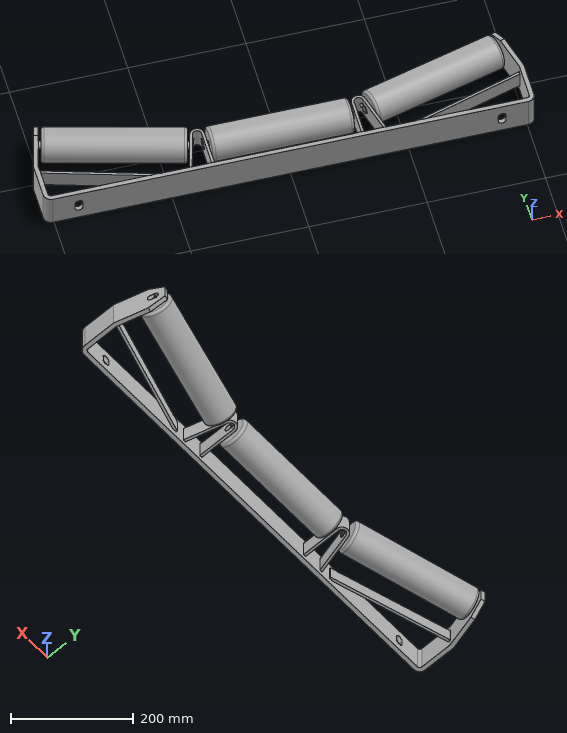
import cadquery as cq
import math


total_length = 830.0
strip_width = 60.0
tilt = 15.0

frame_thickness = 8.0
corner_radius = 13.0
kink_y = 76.0
tip_length = 95.0
tip_chamfer_length = 31.0
tip_flat = 30.0
mount_slot_x = 358.0
mount_slot_length = 23.0
mount_slot_width = 13.0

roller_diameter = 60.0
roller_length = 240.0
roller_edge_radius = 5.0
roller_gap = 4.0
center_roller_y = 70.5
axle_diameter = 13.0
axle_to_tip = 26.0
axle_slot_travel = 7.0

bracket_thickness = 5.0
bracket_width = 36.5
bracket_bend_radius = 10.0
bracket_bend_y = 81.0

brace_thickness = 5.0
brace_width = 30.0
brace_angle = 16.6
brace_top_y = 76.0
brace_end_x = 187.0

tilt_radians = math.radians(tilt)
tilt_sin = math.sin(tilt_radians)
tilt_cos = math.cos(tilt_radians)
RIGHTWARD = (1, 0, 0)
UPRIGHT = (0, 1, 0)
VERTICAL = (0, 0, 1)
TIP_ALONG = (tilt_sin, tilt_cos, 0)
TIP_INWARD = (tilt_cos, -tilt_sin, 0)

half_length = total_length / 2
upright_inner_x = half_length - frame_thickness
inner_kink_y = kink_y - frame_thickness * math.tan(tilt_radians / 2)
support_span = roller_length + 2 * roller_gap
leg_middle_x = -(support_span + bracket_thickness) / 2
bracket_bend_x = leg_middle_x - bracket_bend_radius
outer_axle_along = tip_length - axle_to_tip
axle_in_bracket = roller_gap + bracket_thickness
axle_in_frame = roller_gap + frame_thickness


def left_tip_point(along, inward):
    """XY point measured from the left outer kink, along the tip and inward across it."""
    x = -half_length + along * tilt_sin + inward * tilt_cos
    y = kink_y + along * tilt_cos - inward * tilt_sin
    return x, y


def mirrored(body):
    return body.mirror("YZ")


def slot_cutter(center, along, normal, length, width, depth):
    """Round-ended slot centred on a point, reaching depth to both sides of it."""
    plane = cq.Plane(origin=center, xDir=along, normal=normal)
    return cq.Workplane(plane).slot2D(length, width).extrude(depth, both=True)


def axle_slot(axle_point, along, normal, thickness):
    """Slot through a sheet; the axle rests in its lower round end."""
    x, y = axle_point
    shift = axle_slot_travel / 2
    center = (x + along[0] * shift, y + along[1] * shift, 0)
    length = axle_diameter + axle_slot_travel
    return slot_cutter(center, along, normal, length, axle_diameter, thickness)



def bent_strip():
    """Base, two uprights and two tilted tips, full width everywhere."""
    outer_end_x, outer_end_y = left_tip_point(tip_length, 0)
    inner_end_x, inner_end_y = left_tip_point(tip_length, frame_thickness)
    left_half = [
        (-half_length, 0),
        (-half_length, kink_y),
        (outer_end_x, outer_end_y),
        (inner_end_x, inner_end_y),
        (-upright_inner_x, inner_kink_y),
        (-upright_inner_x, frame_thickness),
    ]
    right_half = [(-x, y) for x, y in reversed(left_half)]
    strip = (
        cq.Workplane("XY").polyline(left_half + right_half).close()
        .extrude(strip_width / 2, both=True)
    )
    inside_radius = corner_radius - frame_thickness
    for side in (-1, 1):
        outside_corner = (side * half_length, 0, 0)
        inside_corner = (side * upright_inner_x, frame_thickness, 0)
        strip = strip.edges(cq.selectors.NearestToPointSelector(outside_corner)).fillet(corner_radius)
        strip = strip.edges(cq.selectors.NearestToPointSelector(inside_corner)).fillet(inside_radius)
    return strip


def tip_corner_cutter():
    """Two triangular prisms that chamfer the corners of the left tip."""
    half_width = strip_width / 2
    chamfer_start = tip_length - tip_chamfer_length
    plane = cq.Plane(origin=(-half_length, kink_y, 0), xDir=TIP_ALONG, normal=TIP_INWARD)
    corner = (
        cq.Workplane(plane)
        .moveTo(chamfer_start, half_width)
        .lineTo(tip_length, half_width)
        .lineTo(tip_length, tip_flat / 2)
        .close()
        .extrude(frame_thickness)
    )
    return corner.union(corner.mirror("XY"))


def build_frame():
    frame = bent_strip()
    axle_point = left_tip_point(outer_axle_along, frame_thickness / 2)
    tip_slot = axle_slot(axle_point, TIP_ALONG, TIP_INWARD, frame_thickness)
    mount_center = (-mount_slot_x, frame_thickness / 2, 0)
    mount_slot = slot_cutter(
        mount_center, VERTICAL, UPRIGHT, mount_slot_length, mount_slot_width, frame_thickness
    )
    for cutter in (tip_corner_cutter(), tip_slot, mount_slot):
        frame = frame.cut(cutter).cut(mirrored(cutter))
    return frame



def build_roller(center, angle, left_axle, right_axle):
    """Roller with fixed axle stubs, turned about Z and moved to its centre."""
    half_roller = roller_length / 2
    shell = (
        cq.Workplane("YZ", origin=(-half_roller, 0, 0))
        .circle(roller_diameter / 2)
        .extrude(roller_length)
        .faces("<X or >X").edges()
        .fillet(roller_edge_radius)
    )
    axle = (
        cq.Workplane("YZ", origin=(-half_roller - left_axle, 0, 0))
        .circle(axle_diameter / 2)
        .extrude(left_axle + roller_length + right_axle)
    )
    x, y = center
    return shell.union(axle).rotate((0, 0, 0), VERTICAL, angle).translate((x, y, 0))



def bend_point(radius, angle):
    x = bracket_bend_x + radius * math.cos(angle)
    y = bracket_bend_y + radius * math.sin(angle)
    return x, y


def tilted_leg_foot(radius, bend_end):
    """Where a face of the tilted leg, leaving the bend, meets the frame base."""
    x, y = bend_point(radius, bend_end)
    return x - (y - frame_thickness) * math.tan(tilt_radians), frame_thickness


def build_left_bracket():
    outer = bracket_bend_radius + bracket_thickness / 2
    inner = bracket_bend_radius - bracket_thickness / 2
    bend_end = math.pi - tilt_radians
    bend_middle = bend_end / 2
    bracket = (
        cq.Workplane("XY")
        .moveTo(bracket_bend_x + outer, frame_thickness)
        .lineTo(*bend_point(outer, 0))
        .threePointArc(bend_point(outer, bend_middle), bend_point(outer, bend_end))
        .lineTo(*tilted_leg_foot(outer, bend_end))
        .lineTo(*tilted_leg_foot(inner, bend_end))
        .lineTo(*bend_point(inner, bend_end))
        .threePointArc(bend_point(inner, bend_middle), bend_point(inner, 0))
        .lineTo(bracket_bend_x + inner, frame_thickness)
        .close()
        .extrude(bracket_width / 2, both=True)
    )
    upright_axle = (leg_middle_x, center_roller_y)
    tilted_leg_inward = frame_thickness + support_span + bracket_thickness / 2
    tilted_axle = left_tip_point(outer_axle_along, tilted_leg_inward)
    bracket = bracket.cut(axle_slot(upright_axle, UPRIGHT, RIGHTWARD, bracket_thickness))
    return bracket.cut(axle_slot(tilted_axle, TIP_ALONG, TIP_INWARD, bracket_thickness))



def build_left_brace():
    """Bar from the kink down to the base, cut flush where it meets the frame."""
    slope = math.tan(math.radians(brace_angle))
    upright_cut = brace_thickness / math.cos(math.radians(brace_angle))
    top_x = -upright_inner_x + (brace_top_y - inner_kink_y) * math.tan(tilt_radians)
    upper_end_y = brace_top_y - (-brace_end_x - top_x) * slope
    lower_start_y = brace_top_y - (-upright_inner_x - top_x) * slope - upright_cut
    base_contact_x = -upright_inner_x + (lower_start_y - frame_thickness) / slope
    outline = [
        (-upright_inner_x, inner_kink_y),
        (top_x, brace_top_y),
        (-brace_end_x, upper_end_y),
        (-brace_end_x, frame_thickness),
        (base_contact_x, frame_thickness),
        (-upright_inner_x, lower_start_y),
    ]
    return cq.Workplane("XY").polyline(outline).close().extrude(brace_width / 2, both=True)



frame = build_frame()
center_roller = build_roller((0, center_roller_y), 0, axle_in_bracket, axle_in_bracket)
left_roller_center = left_tip_point(outer_axle_along, frame_thickness + support_span / 2)
left_roller = build_roller(left_roller_center, -tilt, axle_in_frame, axle_in_bracket)

bodies = [frame.solids().val(), center_roller.solids().val()]
for left_body in (left_roller, build_left_bracket(), build_left_brace()):
    bodies.append(left_body.solids().val())
    bodies.append(mirrored(left_body).solids().val())

result = cq.Compound.makeCompound(bodies)